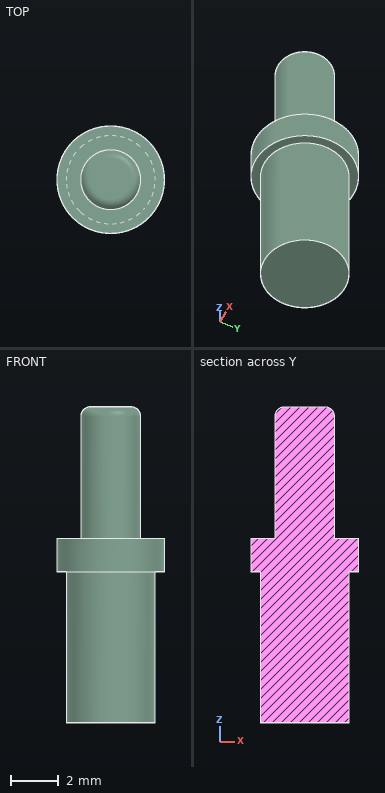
import cadquery as cq

body_diameter = 3.7
body_length = 6.3
flange_diameter = 4.5
flange_thickness = 1.4
pin_diameter = 2.5
pin_length = 5.5
tip_radius = 0.4


def cylinder(diameter, length, base_z):
    """Upright cylinder on the Z axis with its lower face at base_z."""
    return cq.Workplane("XY").workplane(offset=base_z).circle(diameter / 2).extrude(length)


flange_base_z = body_length
pin_base_z = flange_base_z + flange_thickness

body = cylinder(body_diameter, body_length, 0)
flange = cylinder(flange_diameter, flange_thickness, flange_base_z)
pin = cylinder(pin_diameter, pin_length, pin_base_z).faces(">Z").edges().fillet(tip_radius)

result = body.union(flange).union(pin)